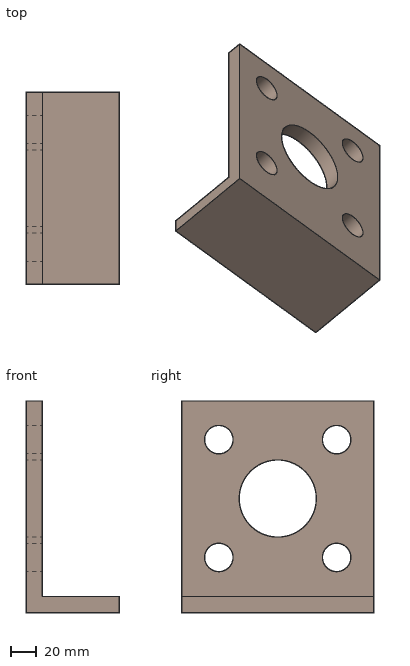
import cadquery as cq

height = 165.4
width = 150.0
foot_length = 73.0
thickness = 12.7

bore_diameter = 60.0
bore_height = 89.2
bolt_hole_diameter = 22.0
bolt_spacing = 92.0


def make_angle():
    """L-shaped body: upright plate at X = 0 with a foot along +X."""
    upright = cq.Workplane("XY").box(thickness, width, height, centered=(False, True, False))
    foot = cq.Workplane("XY").box(foot_length, width, thickness, centered=(False, True, False))
    return upright.union(foot)


def make_hole_cutters():
    """Central bore and four bolt holes through the upright plate."""
    plate_face = cq.Workplane("YZ").center(0, bore_height)
    bore = plate_face.circle(bore_diameter / 2).extrude(thickness)
    bolt_holes = (
        plate_face.rect(bolt_spacing, bolt_spacing, forConstruction=True)
        .vertices()
        .circle(bolt_hole_diameter / 2)
        .extrude(thickness)
    )
    return bore.union(bolt_holes)


result = make_angle().cut(make_hole_cutters())